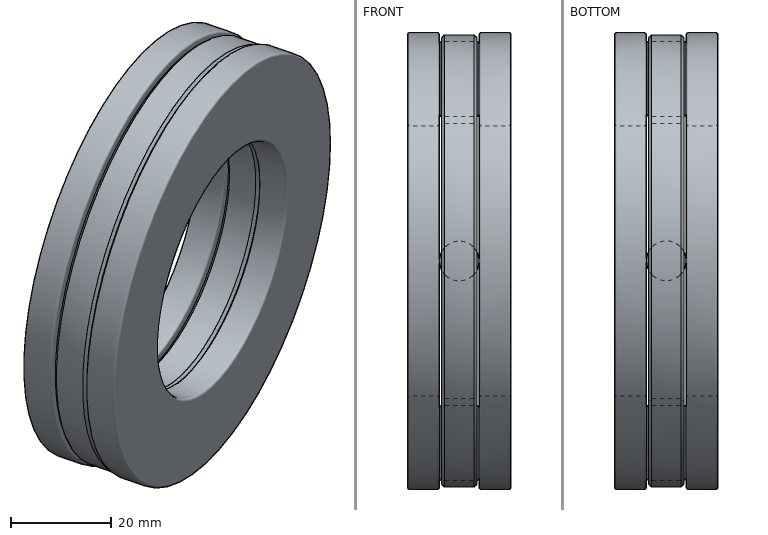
import cadquery as cq

total_width = 20.6
washer_diameter = 91.3
washer_bore = 53.95
cage_diameter = 90.3
cage_bore = 54.95
cage_width = 7.1
roller_diameter = 7.9
roller_length = 15.0
roller_count = 4
washer_round = 0.5
cage_chamfer = 0.59
roller_round = 0.5

washer_width = (total_width - roller_diameter) / 2
roller_mid_radius = (cage_diameter + cage_bore) / 4
roller_inner_radius = roller_mid_radius - roller_length / 2


def ring(start_x, width, outer_diameter, bore):
    """Flat ring about the X axis with square edges."""
    return (
        cq.Workplane("YZ", origin=(start_x, 0, 0))
        .circle(outer_diameter / 2)
        .circle(bore / 2)
        .extrude(width)
    )


def roller(angle):
    """Radial roller with rounded ends, turned about the X axis from +Z."""
    return (
        cq.Workplane("XY", origin=(0, 0, roller_inner_radius))
        .circle(roller_diameter / 2)
        .extrude(roller_length)
        .edges("%CIRCLE")
        .fillet(roller_round)
        .rotate((0, 0, 0), (1, 0, 0), angle)
    )


washers = [
    ring(start_x, washer_width, washer_diameter, washer_bore).edges("%CIRCLE").fillet(washer_round)
    for start_x in (-total_width / 2, roller_diameter / 2)
]

rollers = [roller(index * 360 / roller_count) for index in range(roller_count)]

cage = ring(-cage_width / 2, cage_width, cage_diameter, cage_bore).edges("%CIRCLE").chamfer(cage_chamfer)
for cage_roller in rollers:
    cage = cage.cut(cage_roller)

result = cq.Compound.makeCompound([body.val() for body in [*washers, cage, *rollers]])